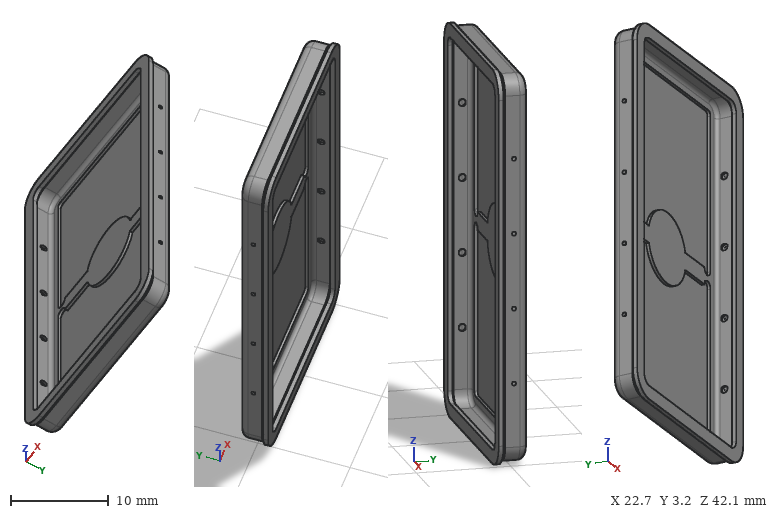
import cadquery as cq

bezel_width = 22.7
bezel_height = 42.1
bezel_corner = 2.6
bezel_depth = 0.5
bezel_border = 1.5

gasket_inset = 0.65
gasket_depth = 0.3

tray_inset = 0.4
tray_corner = 1.9
tray_depth = 2.4
tray_back_fillet = 0.9
wall = 0.5
cavity_corner = 1.6
floor_fillet = 0.45

pocket_depth = 0.35
pocket_border = 0.6
pocket_corner = 0.45
bar_half_height = 0.95
disc_radius = 4.0
relief_radius = 0.65

dimple_radius = 0.2
blind_hole_radius = 0.38
blind_hole_depth = 0.25
recess_pitch = 8.0
recess_count = 4
recess_y = 1.73

tray_width = bezel_width - 2 * tray_inset
tray_height = bezel_height - 2 * tray_inset
cavity_width = tray_width - 2 * wall
cavity_height = tray_height - 2 * wall
opening_width = bezel_width - 2 * bezel_border
opening_height = bezel_height - 2 * bezel_border
tray_front = bezel_depth + gasket_depth
tray_back = tray_front + tray_depth
floor_y = tray_back - wall
pocket_half_width = opening_width / 2 - pocket_border
pocket_half_height = opening_height / 2 - pocket_border


def rounded_slab(width, height, corner, front, depth):
    """Plate centred on the Y axis, with rounded corners, running back from Y = front."""
    return (
        cq.Workplane("XZ", origin=(0, front, 0))
        .rect(width, height)
        .extrude(-depth)
        .edges("|Y")
        .fillet(corner)
    )


def disc(x, z, radius, front, depth):
    """Round plate about the point (x, z), running back from Y = front."""
    return cq.Workplane("XZ", origin=(x, front, z)).circle(radius).extrude(-depth)


def make_bezel():
    """Flat front frame, wider than the tray."""
    outer = rounded_slab(bezel_width, bezel_height, bezel_corner, 0, bezel_depth)
    opening_corner = bezel_corner - bezel_border
    opening = rounded_slab(opening_width, opening_height, opening_corner, 0, bezel_depth)
    return outer.cut(opening)


def make_gasket():
    """Ring between the bezel and the tray, stepped in from both."""
    outer = rounded_slab(
        bezel_width - 2 * gasket_inset,
        bezel_height - 2 * gasket_inset,
        bezel_corner - gasket_inset,
        bezel_depth,
        gasket_depth,
    )
    inner = rounded_slab(cavity_width, cavity_height, cavity_corner, bezel_depth, gasket_depth)
    return outer.cut(inner)


def make_pocket(side):
    """Shallow floor pocket above (side = 1) or below (side = -1) the bar and disc."""
    pocket_height = pocket_half_height - bar_half_height
    middle_z = side * (pocket_half_height + bar_half_height) / 2
    end_face = ">Z" if side > 0 else "<Z"
    pocket = (
        cq.Workplane("XZ", origin=(0, floor_y, middle_z))
        .rect(2 * pocket_half_width, pocket_height)
        .extrude(-pocket_depth)
        .faces(end_face)
        .edges("|Y")
        .fillet(pocket_corner)
        .cut(disc(0, 0, disc_radius, floor_y, pocket_depth))
    )
    relief_x = pocket_half_width - relief_radius
    for x in (-relief_x, relief_x):
        pocket = pocket.union(disc(x, side * bar_half_height, relief_radius, floor_y, pocket_depth))
    return pocket


def make_wall_recesses():
    """Rows of cutters for both side walls: a ball-shaped dimple outside, a blind round hole inside."""
    cutters = []
    for side in (-1, 1):
        for index in range(recess_count):
            z = (index - (recess_count - 1) / 2) * recess_pitch
            dimple = cq.Workplane("XY", origin=(side * tray_width / 2, recess_y, z)).sphere(dimple_radius)
            blind_hole = (
                cq.Workplane("YZ", origin=(side * cavity_width / 2, recess_y, z))
                .circle(blind_hole_radius)
                .extrude(side * blind_hole_depth)
            )
            cutters += [dimple, blind_hole]
    return cutters


def make_tray():
    """Open box with a rounded back, floor pockets and side-wall recesses."""
    shell = rounded_slab(tray_width, tray_height, tray_corner, tray_front, tray_depth)
    shell = shell.faces(">Y").edges().fillet(tray_back_fillet)
    cavity_depth = floor_y - tray_front
    cavity = rounded_slab(cavity_width, cavity_height, cavity_corner, tray_front, cavity_depth)
    cavity = cavity.faces(">Y").edges().fillet(floor_fillet)
    tray = shell.cut(cavity).cut(make_pocket(1)).cut(make_pocket(-1))
    for cutter in make_wall_recesses():
        tray = tray.cut(cutter, clean=False)
    return tray


bezel = make_bezel()
gasket = make_gasket()
tray = make_tray()

result = cq.Compound.makeCompound([bezel.val(), gasket.val(), tray.val()])